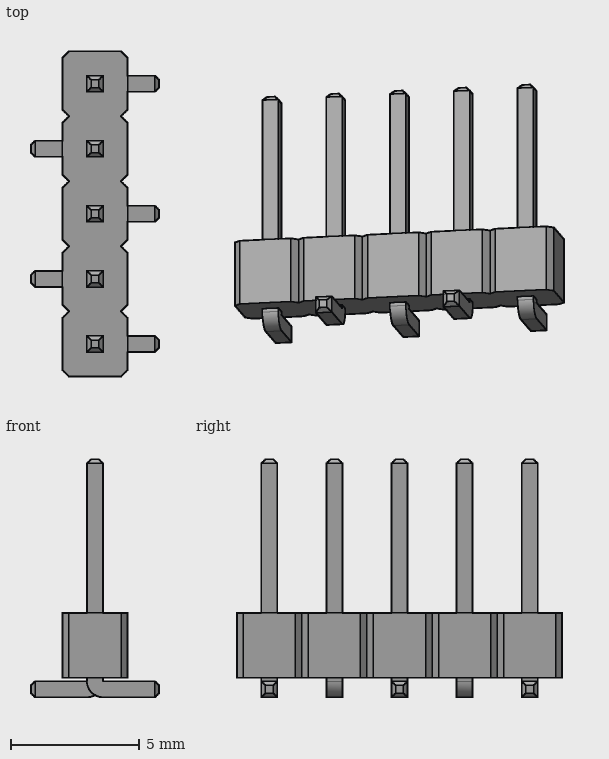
import cadquery as cq

pin_count = 5
pitch = 2.54
first_pin_y = -(pin_count - 1) / 2 * pitch
pin_positions = [first_pin_y + index * pitch for index in range(pin_count)]

body_width = 2.54
body_height = 2.54
body_bottom = 0.76
corner_cut = 0.25

pin_size = 0.64
pin_half = pin_size / 2
pin_top = 9.3
tip_chamfer = 0.17
foot_span = 5.0
foot_reach = foot_span / 2
bend_radius = pin_size


def make_block(y):
    """One pitch of the plastic body, with its four vertical edges chamfered."""
    return (
        cq.Workplane("XY", origin=(0, y, body_bottom))
        .box(body_width, pitch, body_height, centered=(True, True, False))
        .edges("|Z")
        .chamfer(corner_cut)
    )


def make_pin(y, side):
    """Square L-shaped pin at y; side is +1 for a foot toward +X, -1 toward -X."""
    pin = (
        cq.Workplane("XZ", origin=(0, y + pin_half, 0))
        .moveTo(-side * pin_half, pin_top)
        .lineTo(side * pin_half, pin_top)
        .lineTo(side * pin_half, pin_size)
        .lineTo(side * foot_reach, pin_size)
        .lineTo(side * foot_reach, 0)
        .lineTo(side * (bend_radius - pin_half), 0)
        .radiusArc((-side * pin_half, bend_radius), side * bend_radius)
        .close()
        .extrude(pin_size)
    )
    foot_end = ">X" if side > 0 else "<X"
    return pin.faces(">Z").chamfer(tip_chamfer).faces(foot_end).chamfer(tip_chamfer)


result = cq.Workplane("XY")
for pin_y in pin_positions:
    result = result.union(make_block(pin_y))

foot_side = 1
for pin_y in pin_positions:
    result = result.union(make_pin(pin_y, foot_side))
    foot_side = -foot_side